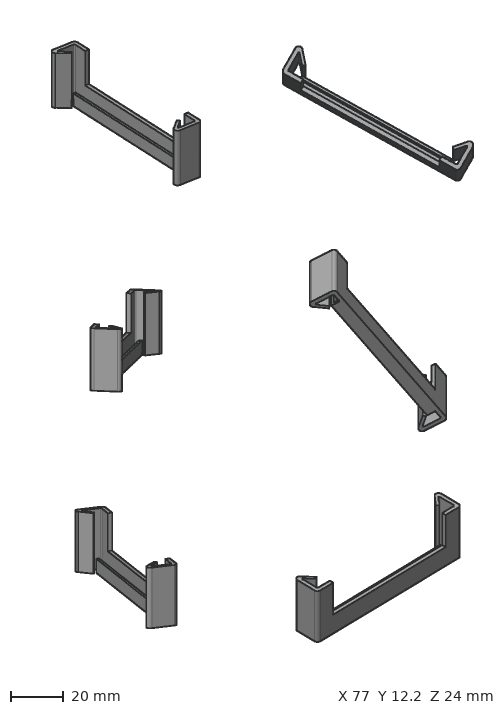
import cadquery as cq
import math

length = 77.0
depth = 12.2
height = 24.0
wall = 1.85
corner_radius = 1.55
inner_radius = 0.55
crook_radius = 0.3
window_width = 60.05
crossbar_height = 8.9
arm_angle = 49.0
arm_length = 6.1
arm_thickness = 1.3
arm_step = 0.1
channel_length = 65.3
channel_depth = 3.7
channel_height = 5.6
lip_thickness = 1.15
floor_thickness = 1.15

half_length = length / 2
back_y = depth / 2
front_y = -depth / 2
plate_face_y = back_y - wall


def back_plate():
    """Upright plate with a central window left open at the top."""
    plate = cq.Workplane("XY").box(length, wall, height, centered=(True, False, False))
    window = cq.Workplane("XY").box(window_width, wall, height, centered=(True, False, False))
    plate = plate.cut(window.translate((0, 0, crossbar_height)))
    return plate.translate((0, plate_face_y, 0))


def left_clip():
    """End wall whose front edge rolls back into a slanted spring arm."""
    angle = math.radians(arm_angle)
    along = cq.Vector(math.cos(angle), math.sin(angle))
    outward = cq.Vector(math.sin(angle), -math.cos(angle))
    nose_center = cq.Vector(-half_length + corner_radius, front_y + corner_radius)
    middle_angle = 5 * math.pi / 4 + angle / 2
    middle_direction = cq.Vector(math.cos(middle_angle), math.sin(middle_angle))
    nose_start = nose_center - cq.Vector(corner_radius, 0)
    nose_middle = nose_center + middle_direction * corner_radius
    nose_end = nose_center + outward * corner_radius
    arm_start = nose_end - outward * arm_step
    tip_outer = arm_start + along * arm_length
    tip_inner = tip_outer - outward * arm_thickness
    wall_face_x = -half_length + wall
    crook_y = tip_inner.y - (tip_inner.x - wall_face_x) * math.tan(angle)

    clip = (
        cq.Workplane("XY")
        .moveTo(-half_length, back_y)
        .lineTo(nose_start.x, nose_start.y)
        .threePointArc((nose_middle.x, nose_middle.y), (nose_end.x, nose_end.y))
        .lineTo(arm_start.x, arm_start.y)
        .lineTo(tip_outer.x, tip_outer.y)
        .lineTo(tip_inner.x, tip_inner.y)
        .lineTo(wall_face_x, crook_y)
        .lineTo(wall_face_x, back_y)
        .close()
        .extrude(height)
    )
    crook_edge = cq.selectors.NearestToPointSelector((wall_face_x, crook_y, height / 2))
    return clip.edges(crook_edge).fillet(crook_radius)


def channel():
    """Trough in front of the crossbar: a floor with a front lip."""
    lip_y = plate_face_y - channel_depth
    lip = cq.Workplane("XY").box(
        channel_length, lip_thickness, channel_height, centered=(True, False, False)
    )
    floor = cq.Workplane("XY").box(
        channel_length, channel_depth, floor_thickness, centered=(True, False, False)
    )
    return lip.union(floor).translate((0, lip_y, 0))


clip = left_clip()
frame = back_plate().union(clip).union(clip.mirror("YZ"))

for side in (-1, 1):
    outside = (side * half_length, back_y, height / 2)
    inside = (side * (half_length - wall), plate_face_y, height / 2)
    for corner, radius in ((outside, corner_radius), (inside, inner_radius)):
        corner_edge = cq.selectors.NearestToPointSelector(corner)
        frame = frame.edges(corner_edge).fillet(radius)

result = frame.union(channel())